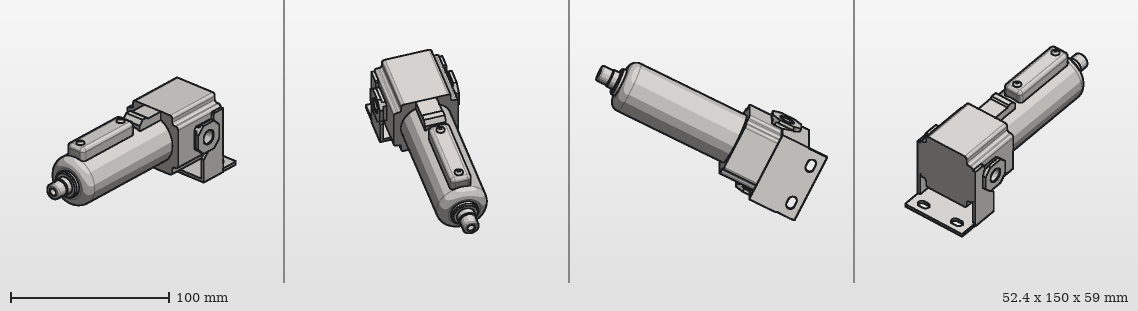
import cadquery as cq
import math


body_back_y = 17.0
body_front_y = -24.0
body_size = 42.8
body_half = body_size / 2
notch_x = 16.5
notch_z = 15.0
notch_radius = 2.0

bowl_diameter = 33.5
bowl_radius = bowl_diameter / 2
bowl_end_y = -105.0
bowl_dome_radius = 6.0
flange_radius = 9.0
flange_end_y = -108.0
collar_radius = 5.8
collar_end_y = -112.8
nozzle_radius = 5.2
nozzle_end_y = -120.0
flange_chamfer = 0.9
nozzle_tip_round = 0.9
drain_hole_radius = 2.4
drain_hole_depth = 7.2
drain_mouth_chamfer = 0.3

rib_half_width = 6.9
latch_deck_z = 21.3
latch_front_y = -44.2
latch_ramp_start_y = -36.3
latch_bump_height = 1.2
latch_nose_length = 2.7
latch_nose_drop = 3.3
cover_back_y = -49.0
cover_front_y = bowl_end_y + bowl_dome_radius
cover_top_z = 24.5
cover_corner_round = 2.7
cover_top_round = 2.5

screw_y_positions = (-54.8, -93.5)
screw_radius = 2.7
screw_flat_radius = 0.9
screw_top_z = 26.0
screw_rim_height = 0.2

port_half_size = 10.0
port_corner_cut = 5.0
port_face_x = 26.2
neck_half_size = 8.5
neck_end_x = 23.5
head_back_x = 24.0
port_hole_radius = 4.5
port_mouth_chamfer = 0.5
port_hole_depth = 10.0

bracket_half_width = 23.5
bracket_bottom_z = -33.0
sheet_thickness = 2.2
arm_top_z = 12.9
arm_top_front_y = 7.8
arm_corner_cut = 0.9
arm_foot_front_y = -1.8
arm_slope_bottom_z = -16.6
tail_back_y = 30.0
tail_half_width = 23.1
tail_corner_radius = 0.6
slot_x = 13.5
slot_y = 23.1
slot_length = 8.4
slot_width = 5.4


def make_blind_hole(radius, depth, mouth_chamfer):
    """Cutter for a blind hole along X, open toward +X at X = 0 and widened at its mouth."""
    profile = [
        (-depth, 0),
        (-depth, radius),
        (-mouth_chamfer, radius),
        (0, radius + mouth_chamfer),
        (0, 0),
    ]
    return cq.Workplane("XY").polyline(profile).close().revolve(360, (0, 0, 0), (1, 0, 0))


def make_body():
    """Square extrusion with a notch at each corner; every notch edge is rounded."""
    length = body_back_y - body_front_y
    centre = (0, (body_back_y + body_front_y) / 2, 0)
    wide_bar = cq.Workplane("XY").box(body_size, length, 2 * notch_z)
    tall_bar = cq.Workplane("XY").box(2 * notch_x, length, body_size)
    return wide_bar.union(tall_bar).edges("|Y").fillet(notch_radius).translate(centre)


def make_bowl():
    """Domed bowl, flange, collar and nozzle revolved about the Y axis."""
    dome_mid = bowl_dome_radius * math.sqrt(0.5)
    dome_start_y = bowl_end_y + bowl_dome_radius
    dome_centre_r = bowl_radius - bowl_dome_radius
    collar_step = collar_radius - nozzle_radius
    tip_mid = nozzle_tip_round * math.sqrt(0.5)
    tip_centre_y = nozzle_end_y + nozzle_tip_round
    tip_centre_r = nozzle_radius - nozzle_tip_round
    outline = (
        cq.Workplane("XY")
        .moveTo(0, body_front_y)
        .lineTo(bowl_radius, body_front_y)
        .lineTo(bowl_radius, dome_start_y)
        .threePointArc((dome_centre_r + dome_mid, dome_start_y - dome_mid), (dome_centre_r, bowl_end_y))
        .lineTo(flange_radius, bowl_end_y)
        .lineTo(flange_radius, flange_end_y + flange_chamfer)
        .lineTo(flange_radius - flange_chamfer, flange_end_y)
        .lineTo(collar_radius, flange_end_y)
        .lineTo(collar_radius, collar_end_y + collar_step)
        .lineTo(nozzle_radius, collar_end_y)
        .lineTo(nozzle_radius, tip_centre_y)
        .threePointArc((tip_centre_r + tip_mid, tip_centre_y - tip_mid), (tip_centre_r, nozzle_end_y))
        .lineTo(0, nozzle_end_y)
    )
    bowl = outline.close().revolve(360, (0, 0, 0), (0, 1, 0))
    drain_hole = make_blind_hole(drain_hole_radius, drain_hole_depth, drain_mouth_chamfer)
    drain_hole = drain_hole.rotate((0, 0, 0), (0, 0, 1), -90).translate((0, nozzle_end_y, 0))
    return bowl.cut(drain_hole)


def make_latch():
    """Rib in front of the body with a raised, chamfered nose."""
    bump_z = latch_deck_z + latch_bump_height
    profile = [
        (body_front_y, 0),
        (body_front_y, latch_deck_z),
        (latch_ramp_start_y, latch_deck_z),
        (latch_ramp_start_y - latch_bump_height, bump_z),
        (latch_front_y + latch_nose_length, bump_z),
        (latch_front_y, bump_z - latch_nose_drop),
        (latch_front_y, 0),
    ]
    return cq.Workplane("YZ").polyline(profile).close().extrude(rib_half_width, both=True)


def make_cover():
    """Sight-glass cover, rounded on its upright and top edges."""
    return (
        cq.Workplane("XY")
        .center(0, (cover_back_y + cover_front_y) / 2)
        .rect(2 * rib_half_width, cover_back_y - cover_front_y)
        .extrude(cover_top_z)
        .edges("|Z")
        .fillet(cover_corner_round)
        .faces(">Z")
        .edges()
        .fillet(cover_top_round)
    )


def make_screw():
    """Domed head with a small flat on top, standing on the cover."""
    rim_z = cover_top_z + screw_rim_height
    dome_height = screw_top_z - rim_z
    centre_z = (screw_flat_radius**2 + dome_height**2 - screw_radius**2) / (2 * dome_height)
    sphere_radius = math.hypot(screw_radius, centre_z)
    mid_r = (screw_radius + screw_flat_radius) / 2
    mid_point = (mid_r, rim_z + centre_z + math.sqrt(sphere_radius**2 - mid_r**2))
    return (
        cq.Workplane("XZ")
        .moveTo(0, cover_top_z)
        .lineTo(screw_radius, cover_top_z)
        .lineTo(screw_radius, rim_z)
        .threePointArc(mid_point, (screw_flat_radius, screw_top_z))
        .lineTo(0, screw_top_z)
        .close()
        .revolve(360, (0, 0, 0), (0, 1, 0))
    )


def make_port():
    """Port on the +X side: an octagonal bar waisted behind its head on all four flats."""
    bar = (
        cq.Workplane("YZ")
        .workplane(offset=notch_x)
        .rect(2 * port_half_size, 2 * port_half_size)
        .extrude(port_face_x - notch_x)
        .edges("|X")
        .chamfer(port_corner_cut)
    )
    half_profile = [
        (notch_x, neck_half_size),
        (neck_end_x, neck_half_size),
        (head_back_x, port_half_size),
        (port_face_x, port_half_size),
    ]
    mirrored_half = [(x, -offset) for x, offset in reversed(half_profile)]
    waist = (
        cq.Workplane("XY").polyline(half_profile + mirrored_half).close().extrude(port_half_size, both=True)
    )
    waist_turned = waist.rotate((0, 0, 0), (1, 0, 0), 90)
    return bar.intersect(waist).intersect(waist_turned)


def make_bracket():
    """U-shaped bracket: two arms joined by a floor, with a slotted tail behind."""
    slope_top_z = arm_slope_bottom_z + (arm_top_front_y - arm_foot_front_y)
    side_profile = [
        (body_back_y, bracket_bottom_z),
        (body_back_y, arm_top_z),
        (arm_top_front_y + arm_corner_cut, arm_top_z),
        (arm_top_front_y, arm_top_z - arm_corner_cut),
        (arm_top_front_y, slope_top_z),
        (arm_foot_front_y, arm_slope_bottom_z),
        (arm_foot_front_y, bracket_bottom_z),
    ]
    floor_top_z = bracket_bottom_z + sheet_thickness
    gap = (
        cq.Workplane("YZ")
        .moveTo(arm_foot_front_y, floor_top_z)
        .lineTo(body_back_y, floor_top_z)
        .lineTo(body_back_y, arm_top_z)
        .lineTo(arm_foot_front_y, arm_top_z)
        .close()
        .extrude(bracket_half_width - sheet_thickness, both=True)
    )
    arms = cq.Workplane("YZ").polyline(side_profile).close().extrude(bracket_half_width, both=True).cut(gap)
    tail = (
        cq.Workplane("XY")
        .workplane(offset=bracket_bottom_z)
        .center(0, (tail_back_y + arm_foot_front_y) / 2)
        .rect(2 * tail_half_width, tail_back_y - arm_foot_front_y)
        .extrude(sheet_thickness)
        .edges("|Z and >Y")
        .fillet(tail_corner_radius)
    )
    slots = (
        cq.Workplane("XY")
        .workplane(offset=bracket_bottom_z)
        .pushPoints([(-slot_x, slot_y), (slot_x, slot_y)])
        .slot2D(slot_length, slot_width)
        .extrude(sheet_thickness)
    )
    return arms.union(tail).cut(slots)


result = make_body().union(make_bowl()).union(make_latch()).union(make_cover()).union(make_bracket())

for screw_y in screw_y_positions:
    result = result.union(make_screw().translate((0, screw_y, 0)))

port = make_port()
result = result.union(port).union(port.mirror("YZ"))

port_hole = make_blind_hole(port_hole_radius, port_hole_depth, port_mouth_chamfer)
port_hole = port_hole.translate((port_face_x, 0, 0))
result = result.cut(port_hole).cut(port_hole.mirror("YZ"))